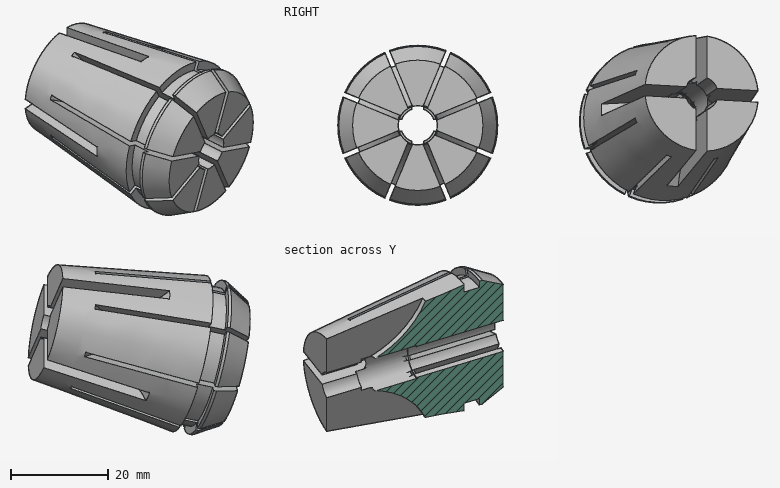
import cadquery as cq
import math

length = 40.0
cone_length = 31.0
cone_diameter = 33.0
cone_radius = cone_diameter / 2
cone_angle = 8.0
groove_end = 34.5
groove_radius = 14.6
head_radius = 16.25
head_chamfer_start = 35.1
head_chamfer_angle = 30.0

entry_bore_diameter = 7.0
entry_bore_radius = entry_bore_diameter / 2
entry_bore_depth = 8.0
relief_radius = 4.25
relief_end = 20.0
grip_radius = 4.0

slot_count = 4
slot_width = 2.4
slot_floor_radius = 20.0
slot_end = 22.1
slot_inner_end = 9.8
slit_count = 8
slit_width = 1.0
slit_floor_radius = 25.0
slit_start = 6.95
slit_inner_start = 20.4

cut_reach = 1.1 * cone_radius


def cone_radius_at(x):
    """Radius of the outer cone at distance x from its narrow end."""
    return cone_radius - (cone_length - x) * math.tan(math.radians(cone_angle))


def make_body():
    """Revolve the outer profile: cone, groove and chamfered head."""
    head_drop = (length - head_chamfer_start) * math.tan(math.radians(head_chamfer_angle))
    return (
        cq.Workplane("XY")
        .polyline([
            (0, 0),
            (0, cone_radius_at(0)),
            (cone_length, cone_radius),
            (cone_length, groove_radius),
            (groove_end, groove_radius),
            (groove_end, head_radius),
            (head_chamfer_start, head_radius),
            (length, head_radius - head_drop),
            (length, 0),
        ])
        .close()
        .revolve(360, (0, 0, 0), (1, 0, 0))
    )


def make_bore():
    """Three bore diameters stacked along the axis."""
    bore = cq.Workplane("YZ").circle(entry_bore_radius).extrude(entry_bore_depth)
    relief = (
        cq.Workplane("YZ", origin=(entry_bore_depth, 0, 0))
        .circle(relief_radius)
        .extrude(relief_end - entry_bore_depth)
    )
    grip = cq.Workplane("YZ", origin=(relief_end, 0, 0)).circle(grip_radius).extrude(length - relief_end)
    return bore.union(relief).union(grip)


def make_saw_cut(outer_x, inner_x, open_x, width, floor_radius):
    """Radial cut in the +Y half, from the axis out, open at open_x, with an arc floor bulging
    into the material between the cone at outer_x and the grip radius at inner_x."""
    outer_y = cone_radius_at(outer_x)
    chord_x = outer_x - inner_x
    chord_y = outer_y - grip_radius
    chord = math.hypot(chord_x, chord_y)
    sagitta = floor_radius - math.sqrt(floor_radius ** 2 - (chord / 2) ** 2)
    side = math.copysign(1, chord_x)
    middle = (
        (outer_x + inner_x) / 2 + side * sagitta * chord_y / chord,
        (outer_y + grip_radius) / 2 - sagitta * abs(chord_x) / chord,
    )
    return (
        cq.Workplane("XY")
        .moveTo(open_x, 0)
        .lineTo(inner_x, 0)
        .lineTo(inner_x, grip_radius)
        .threePointArc(middle, (outer_x, outer_y))
        .lineTo(outer_x, cut_reach)
        .lineTo(open_x, cut_reach)
        .close()
        .extrude(width / 2, both=True)
    )


def cut_around(part, tool, count, first_angle):
    """Cut count copies of a tool, evenly spaced about the X axis."""
    for i in range(count):
        angle = first_angle + i * 360.0 / count
        part = part.cut(tool.rotate((0, 0, 0), (1, 0, 0), angle))
    return part


slot = make_saw_cut(slot_end, slot_inner_end, 0, slot_width, slot_floor_radius)
slit = make_saw_cut(slit_start, slit_inner_start, length, slit_width, slit_floor_radius)
half_slit_pitch = 180.0 / slit_count

result = make_body().cut(make_bore())
result = cut_around(result, slot, slot_count, 0)
result = cut_around(result, slit, slit_count, half_slit_pitch)